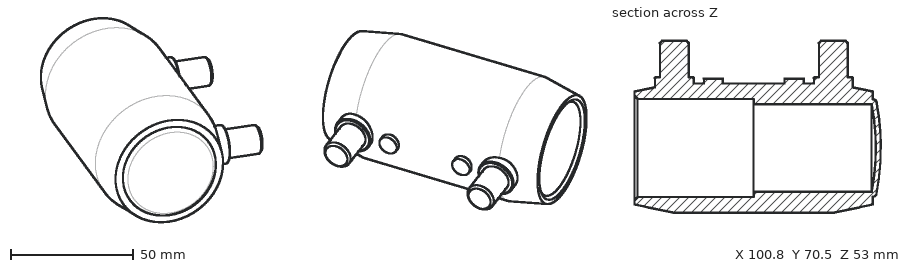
import cadquery as cq

sleeve_length = 97.5
taper_length = 16.2
sleeve_radius = 53.0 / 2
end_radius = 23.2
mouth_chamfer = 1.3

cap_radius = 40.0 / 2
cap_bore_radius = 35.7 / 2
cap_edge_radius = 1.6
mouth_radius = cap_radius + mouth_chamfer
dome_rim_radius = cap_radius - cap_edge_radius
dome_tip_x = 100.8
dome_rim_x = sleeve_length + cap_edge_radius
dome_height = dome_tip_x - dome_rim_x
cap_wall = cap_radius - cap_bore_radius

terminal_diameter = 12.0
terminal_top = 44.0
terminal_chamfer = 1.0
collar_diameter = 16.0
collar_top = 29.0
collar_chamfer = 0.4
pin_diameter = 8.0
pin_top = 28.4
pin_offset = 16.5

mid_x = sleeve_length / 2
post_root = mouth_radius + 1.0


def make_sleeve():
    """Barrel with conical ends."""
    return (
        cq.Workplane("XY")
        .lineTo(0, end_radius)
        .lineTo(taper_length, sleeve_radius)
        .lineTo(sleeve_length - taper_length, sleeve_radius)
        .lineTo(sleeve_length, end_radius)
        .lineTo(sleeve_length, 0)
        .close()
        .revolve(360, (0, 0, 0), (1, 0, 0))
    )


def make_cap_end():
    """Shallow dome with a rounded edge, standing out of the +X end."""
    sphere_radius = (dome_rim_radius**2 + dome_height**2) / (2 * dome_height)
    return (
        cq.Workplane("XY")
        .moveTo(mid_x, 0)
        .lineTo(mid_x, cap_radius)
        .lineTo(sleeve_length, cap_radius)
        .radiusArc((dome_rim_x, dome_rim_radius), cap_edge_radius)
        .radiusArc((dome_tip_x, 0), sphere_radius)
        .close()
        .revolve(360, (0, 0, 0), (1, 0, 0))
    )


def make_cavity():
    """Chamfered socket up to the cap rim, then the cap bore with a domed floor."""
    floor_rim_x = dome_rim_x - cap_wall
    floor_tip_x = dome_tip_x - cap_wall
    floor_height = floor_tip_x - floor_rim_x
    sphere_radius = (cap_bore_radius**2 + floor_height**2) / (2 * floor_height)
    return (
        cq.Workplane("XY")
        .lineTo(0, mouth_radius)
        .lineTo(mouth_chamfer, cap_radius)
        .lineTo(mid_x, cap_radius)
        .lineTo(mid_x, cap_bore_radius)
        .lineTo(floor_rim_x, cap_bore_radius)
        .radiusArc((floor_tip_x, 0), sphere_radius)
        .close()
        .revolve(360, (0, 0, 0), (1, 0, 0))
    )


def make_post(x, diameter, top):
    """Round post along +Y, rooted in the sleeve wall."""
    return (
        cq.Workplane("XZ", origin=(x, post_root, 0))
        .circle(diameter / 2)
        .extrude(-(top - post_root))
    )


result = make_sleeve().union(make_cap_end()).cut(make_cavity())

for terminal_x in (taper_length, sleeve_length - taper_length):
    collar = make_post(terminal_x, collar_diameter, collar_top).faces(">Y").chamfer(collar_chamfer)
    terminal = make_post(terminal_x, terminal_diameter, terminal_top).faces(">Y").chamfer(terminal_chamfer)
    result = result.union(collar).union(terminal)

for pin_x in (mid_x - pin_offset, mid_x + pin_offset):
    result = result.union(make_post(pin_x, pin_diameter, pin_top))